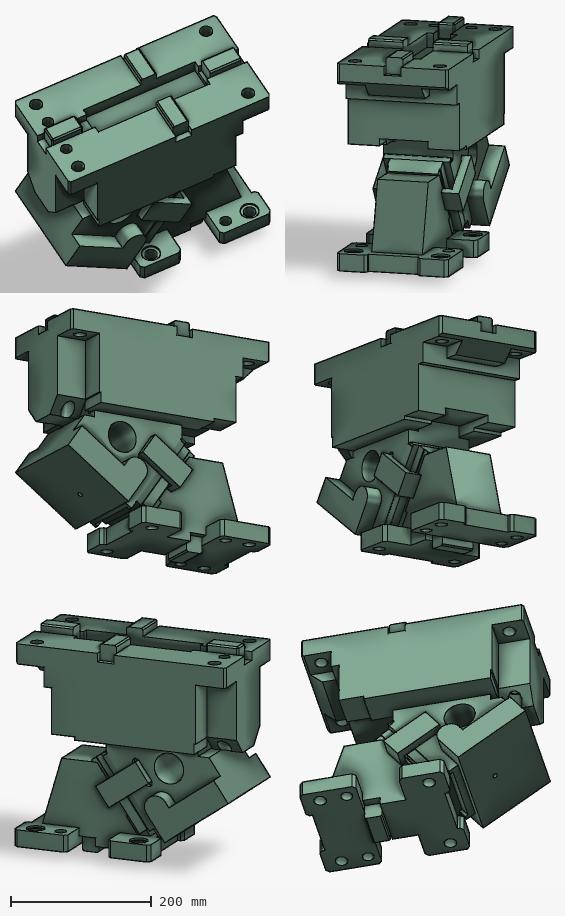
import cadquery as cq
import math


unit_width = 165.0
half_width = unit_width / 2
incline_angle = math.radians(35)
tip_y = -187.0
tip_z = 98.5
tip_rise = 164.5

key_width = 25.5
key_chamfer = 2.3

plate_top = 300.0
plate_bottom = 270.0
plate_rear = 140.0
plate_front = -185.3
corner_chamfer_x = 4.0
corner_chamfer_y = 2.5
block_rear_upper = 95.5
block_rear = 84.0
block_step_z = 241.0
block_rear_bottom = 172.5
runner_rear = 48.0
runner_front = -137.2
runner_bottom = 167.5
runner_top = 183.0
slot_half_width = 36.2
nose_half_width = 41.8
nose_rear = -138.2
nose_bottom = 159.3
nose_tip_half_width = 19.7
block_front = -139.5
rear_rib_bottom = 252.7
rear_rib_chamfer = 21.7
pocket_half_width = 22.5
pocket_rear = 74.7
pocket_front = -105.5
pocket_depth = 20.7
keyway_depth = 12.8
key_top = 312.0
cross_key_length = 51.0
rear_key_y = 105.3
front_key_y = -150.0
long_key_length = 50.0
holder_hole_x = 63.0
holder_hole_rear_y = 114.5
holder_hole_front_y = -160.2
holder_hole_diameter = 18.5
dowel_x = 27.3
dowel_diameter = 16.0
dowel_relief_diameter = 19.7
dowel_relief_depth = 29.5

plate_rise = 19.0
slide_rise = 28.3

slide_half_width = 51.5
slide_top = 165.2
slide_rear = 12.5
ledge_y = -130.0
ledge_z = 155.5
neck_half_width = 34.5
slide_upper_end = 154.5
slide_lower_end = 10.0
runner_half_width = 49.5
runner_lower_end = 25.0
runner_upper_end = 151.0
end_pocket_half_width = 45.5
end_pocket_depth = 5.0
underside_hole_rise = 88.2
underside_hole_diameter = 7.0
underside_hole_depth = 19.7
head_half_width = 75.7
head_rise = 44.5
head_shoulder = 39.0
boss_radius = 17.8
boss_reach = 48.7
cross_bore_y = -85.0
cross_bore_z = 132.5
cross_bore_diameter = 45.5
keeper_half_width = 64.0
keeper_low = -8.5
keeper_high = 66.5
keeper_start = 84.0
keeper_end = 119.8
keeper_pocket_depth = 8.0
relief_radius = 5.0
relief_rise = 60.5

foot_height = 25.0
foot_corner = 5.0
foot_inner_corner = 4.3
rear_foot = (60.2, 142.0)
front_foot = (-3.0, -68.5)
foot_inset = 8.5
column_half_width = 37.5
column_rear = 117.0
column_top_rear = 87.5
column_top = 124.7
column_rise = 10.0
lip_half_width = 38.0
lip_rise = 4.3
lip_drop = 5.5
lip_step = 60.5
guide_lower_end = 29.3
plate_half_width = 39.5
wing_half_width = 51.0
foot_hole_x = 64.5
foot_hole_rear_y = 115.8
foot_hole_front_y = -43.5
foot_hole_diameter = 17.8
counterbore_diameter = 26.5
counterbore_depth = 3.0
foot_dowel_y = 77.0
foot_dowel_diameter = 16.5
base_key_y = rear_foot[0] - key_width / 2
base_key_bottom = -12.2
base_key_length = 52.0

sin_a = math.sin(incline_angle)
cos_a = math.cos(incline_angle)
incline_y = tip_y + tip_rise * cos_a
incline_z = tip_z - tip_rise * sin_a


def incline(rise, along):
    """(Y, Z) of a point `rise` above the guide plane and `along` up the incline."""
    return (
        incline_y - rise * cos_a + along * sin_a,
        incline_z + rise * sin_a + along * cos_a,
    )


def incline_at_z(rise, z):
    """(Y, Z) where the line at `rise` above the guide plane crosses height `z`."""
    return incline(rise, (z - incline_z - rise * sin_a) / cos_a)


def incline_at_y(rise, y):
    """(Y, Z) where the line at `rise` above the guide plane crosses the position `y`."""
    return incline(rise, (y - incline_y + rise * cos_a) / sin_a)


def incline_box(rise_from, rise_to, along_from, along_to):
    """Corners of a rectangle aligned with the incline."""
    return [
        incline(rise_from, along_from),
        incline(rise_to, along_from),
        incline(rise_to, along_to),
        incline(rise_from, along_to),
    ]


def slab(points, half_thickness):
    """Side outline in (Y, Z) extruded equally to both sides of X = 0."""
    return cq.Workplane("YZ").polyline(points).close().extrude(half_thickness, both=True)


def box(x, y, z):
    """Axis-aligned box from (from, to) pairs."""
    size = [end - start for start, end in (x, y, z)]
    return cq.Workplane("XY").box(*size, centered=False).translate((x[0], y[0], z[0]))


def mirrored(shape):
    """The shape together with its mirror image in X = 0."""
    return shape.union(shape.mirror("YZ"))


def bores(centres, diameter, z_from, z_to):
    """Vertical cylinders on the given (X, Y) centres."""
    drill = cq.Workplane("XY").workplane(offset=z_from).pushPoints(centres)
    return drill.circle(diameter / 2).extrude(z_to - z_from)


def both_sides(x, y):
    return [(-x, y), (x, y)]


def section(outline, along_from, along_to):
    """Cross-section in (X, rise) extruded lengthwise along the incline."""
    plane = cq.Plane(
        origin=(0, *incline(0, along_from)), xDir=(-1, 0, 0), normal=(0, sin_a, cos_a)
    )
    return cq.Workplane(plane).polyline(outline).close().extrude(along_to - along_from)


def holder_plate():
    outline = [
        (half_width - corner_chamfer_x, plate_rear),
        (half_width, plate_rear - corner_chamfer_y),
        (half_width, plate_front + corner_chamfer_y),
        (half_width - corner_chamfer_x, plate_front),
    ]
    outline += [(-x, y) for x, y in reversed(outline)]
    plate = cq.Workplane("XY").workplane(offset=plate_bottom).polyline(outline).close()
    return plate.extrude(plate_top - plate_bottom)


def holder_block():
    side = [
        (block_rear_upper, plate_bottom),
        (block_rear_upper, block_step_z),
        (block_rear, block_step_z),
        (block_rear, block_rear_bottom),
        (runner_rear, block_rear_bottom),
        (runner_rear, runner_bottom),
        (runner_front, runner_bottom),
        (runner_front, runner_top),
        (block_front, runner_top),
        (block_front, plate_bottom),
    ]
    slot = box(
        (-slot_half_width, slot_half_width),
        (plate_front, plate_rear),
        (runner_bottom, runner_top),
    )
    return slab(side, half_width).cut(slot)


def holder_nose():
    """Front pillar, tapered below, that hangs in front of the runners."""
    outline = [
        (-nose_half_width, plate_bottom),
        (-nose_half_width, runner_top),
        (-nose_tip_half_width, nose_bottom),
        (nose_tip_half_width, nose_bottom),
        (nose_half_width, runner_top),
        (nose_half_width, plate_bottom),
    ]
    front = cq.Workplane("XZ", origin=(0, plate_front, 0)).polyline(outline).close()
    pillar = front.extrude(plate_front - nose_rear)
    bridge = box(
        (-nose_half_width, nose_half_width), (plate_front, block_front), (runner_top, plate_bottom)
    )
    return pillar.union(bridge)


def rear_rib():
    return box(
        (-nose_half_width, nose_half_width),
        (block_rear_upper, plate_rear),
        (rear_rib_bottom, plate_bottom),
    )


def rear_chamfer():
    corner = [
        (plate_rear, rear_rib_bottom),
        (plate_rear - rear_rib_chamfer, rear_rib_bottom),
        (plate_rear, rear_rib_bottom + rear_rib_chamfer),
    ]
    return slab(corner, half_width)


def keyways():
    depth = (plate_top - keyway_depth, plate_top)
    across = (-key_width / 2, key_width / 2)
    lengthwise = box(across, (plate_front, plate_rear), depth)
    crosswise = box((-half_width, half_width), across, depth)
    pocket = box(
        (-pocket_half_width, pocket_half_width),
        (pocket_front, pocket_rear),
        (plate_top - pocket_depth, plate_top),
    )
    return lengthwise.union(crosswise).union(pocket)


def holder_keys():
    across = (-key_width / 2, key_width / 2)
    height = (plate_top - keyway_depth, key_top)
    reach = long_key_length / 2
    rear = box(across, (rear_key_y - reach, rear_key_y + reach), height)
    rear = rear.edges("|Y and >Z").chamfer(key_chamfer)
    front = box(across, (front_key_y - reach, front_key_y + reach), height)
    front = front.edges().chamfer(key_chamfer)
    cross = box((pocket_half_width, pocket_half_width + cross_key_length), across, height)
    cross = cross.edges("|X and >Z").chamfer(key_chamfer)
    return rear.union(front).union(mirrored(cross))


def holder_holes():
    corners = both_sides(holder_hole_x, holder_hole_rear_y)
    corners += both_sides(holder_hole_x, holder_hole_front_y)
    dowels = both_sides(dowel_x, holder_hole_front_y)
    relief_top = nose_bottom + dowel_relief_depth
    holes = bores(corners, holder_hole_diameter, plate_bottom, plate_top)
    holes = holes.union(bores(dowels, dowel_diameter, nose_bottom, plate_top))
    return holes.union(bores(dowels, dowel_relief_diameter, nose_bottom, relief_top))


def make_holder():
    body = holder_plate().union(holder_block()).union(holder_nose()).union(rear_rib())
    body = body.cut(rear_chamfer()).cut(keyways()).cut(holder_holes())
    return body.union(holder_keys())


def slide_body():
    side = [
        (slide_rear, slide_top),
        (ledge_y, slide_top),
        (ledge_y, ledge_z),
        incline_at_z(tip_rise, ledge_z),
        incline(tip_rise, slide_lower_end),
        incline(slide_rise, slide_lower_end),
        incline_at_y(slide_rise, slide_rear),
    ]
    return slab(side, slide_half_width)


def runner():
    """Sliding strip under the slide, narrowing downwards to the sliding face."""
    outline = [
        (-runner_half_width, plate_rise),
        (runner_half_width, plate_rise),
        (slide_half_width, slide_rise),
        (-slide_half_width, slide_rise),
    ]
    strip = section(outline, runner_lower_end, runner_upper_end)
    core = incline_box(plate_rise, slide_rise, runner_lower_end, slide_upper_end)
    return strip.union(slab(core, runner_half_width))


def end_pocket():
    """Recess in the underside beyond the lower end of the runner."""
    recess = incline_box(
        slide_rise, slide_rise + end_pocket_depth, slide_lower_end, runner_lower_end
    )
    return slab(recess, end_pocket_half_width)


def underside_hole():
    plane = cq.Plane(
        origin=(0, *incline(underside_hole_rise, 0)), xDir=(1, 0, 0), normal=(0, sin_a, cos_a)
    )
    return cq.Workplane(plane).circle(underside_hole_diameter / 2).extrude(underside_hole_depth)


def slide_neck():
    """Narrow rib that runs in the slot of the holder."""
    return box(
        (-neck_half_width, neck_half_width), (ledge_y, slide_rear), (slide_top, runner_top)
    )


def slide_head():
    """Wide nose across the lower front, with a round-ended boss."""
    bar = slab(incline_box(head_rise, tip_rise, 0, head_shoulder), head_half_width)
    boss_rise = head_rise + boss_radius
    boss = slab(
        incline_box(head_rise, boss_rise + boss_radius, 0, boss_reach), head_half_width
    )
    centre = incline(boss_rise, boss_reach)
    dome = cq.Workplane("YZ").center(*centre).circle(boss_radius)
    return bar.union(boss).union(dome.extrude(head_half_width, both=True))


def keeper_reliefs():
    """Round corner reliefs of the keeper pockets in the sides of the slide."""
    centres = [incline(relief_rise, along) for along in (keeper_start, keeper_end)]
    floor = slide_half_width - keeper_pocket_depth
    side = cq.Workplane("YZ", origin=(floor, 0, 0)).pushPoints(centres)
    return mirrored(side.circle(relief_radius).extrude(keeper_pocket_depth))


def keepers():
    """Side plates of the slide, hooked under the lips of the base."""
    plate = incline_box(keeper_low, keeper_high, keeper_start, keeper_end)
    guide_gap = incline_box(0, slide_rise, keeper_start, keeper_end)
    hook_gap = incline_box(keeper_low, 0, keeper_start, keeper_end)
    body = slab(plate, keeper_half_width).cut(slab(guide_gap, slide_half_width))
    return body.cut(slab(hook_gap, column_half_width))


def make_slide():
    body = slide_body().union(slide_neck()).union(slide_head()).cut(keeper_reliefs())
    body = body.union(keepers()).union(runner()).cut(end_pocket()).cut(underside_hole())
    bore = cq.Workplane("YZ").center(cross_bore_y, cross_bore_z).circle(cross_bore_diameter / 2)
    return body.cut(bore.extrude(slide_half_width, both=True))


def column():
    side = [
        (rear_foot[1] - foot_inset, 0),
        (rear_foot[1] - foot_inset, foot_height),
        (column_rear, foot_height),
        (column_top_rear, column_top),
        incline_at_z(column_rise, column_top),
        incline_at_z(column_rise, foot_height),
        (front_foot[1] + foot_inset, foot_height),
        (front_foot[1] + foot_inset, 0),
    ]
    return slab(side, column_half_width)


def foot(inner_end, outer_end):
    """Pair of feet; `outer_end` is the Y that lies beyond the column."""
    inwards = math.copysign(1, inner_end - outer_end)
    outline = [
        (0, inner_end),
        (half_width - foot_corner, inner_end),
        (half_width, inner_end - inwards * foot_corner),
        (half_width, outer_end + inwards * foot_corner),
        (half_width - foot_corner, outer_end),
        (column_half_width + foot_inner_corner, outer_end),
        (column_half_width, outer_end + inwards * foot_inner_corner),
        (column_half_width, outer_end + inwards * foot_inset),
        (0, outer_end + inwards * foot_inset),
    ]
    return mirrored(cq.Workplane("XY").polyline(outline).close().extrude(foot_height))


def guide():
    """Lipped plate on the inclined face, with wings below the keepers."""
    lip = [
        incline(lip_rise, slide_upper_end),
        incline(-lip_drop, slide_upper_end),
        incline_at_z(-lip_drop, column_top),
        incline_at_z(0, column_top),
        incline(0, lip_step),
        incline(-lip_drop, lip_step),
        incline(-lip_drop, guide_lower_end),
        incline(lip_rise, guide_lower_end),
    ]
    plate = incline_box(lip_rise, plate_rise, guide_lower_end, slide_upper_end)
    wings = incline_box(lip_rise, plate_rise, guide_lower_end, keeper_start)
    body = slab(lip, lip_half_width).union(slab(plate, plate_half_width))
    return body.union(slab(wings, wing_half_width))


def foot_holes():
    bolts = both_sides(foot_hole_x, foot_hole_rear_y) + both_sides(foot_hole_x, foot_hole_front_y)
    dowels = both_sides(foot_hole_x, foot_dowel_y)
    seat = foot_height - counterbore_depth
    holes = bores(bolts, foot_hole_diameter, 0, foot_height)
    holes = holes.union(bores(bolts, counterbore_diameter, seat, foot_height))
    return holes.union(bores(dowels, foot_dowel_diameter, 0, foot_height))


def base_keyway():
    across = (base_key_y - key_width / 2, base_key_y + key_width / 2)
    return box((-column_half_width, column_half_width), across, (0, keyway_depth))


def base_key():
    across = (base_key_y - key_width / 2, base_key_y + key_width / 2)
    reach = base_key_length / 2
    key = box((-reach, reach), across, (base_key_bottom, keyway_depth))
    return key.edges("|X and <Z").chamfer(key_chamfer)


def make_base():
    body = column().union(foot(*rear_foot)).union(foot(*front_foot)).union(guide())
    return body.cut(foot_holes()).cut(base_keyway()).union(base_key())


holder = make_holder()
slide = make_slide()
base = make_base()

bodies = [body.solids().val() for body in (holder, slide, base)]
result = cq.Compound.makeCompound(bodies)